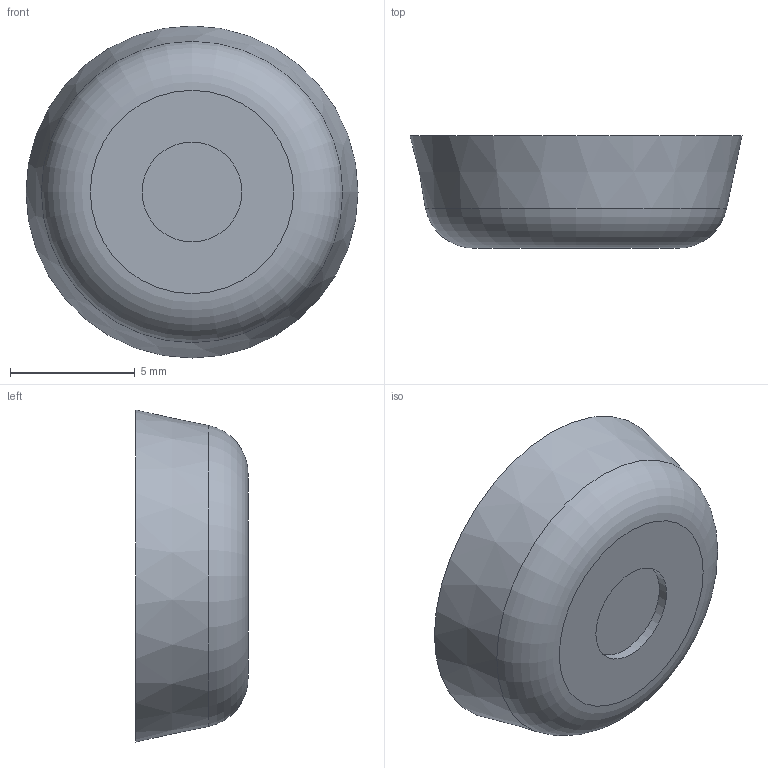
import cadquery as cq
import math

base_diameter = 13.3
height = 4.5
wall_taper = 12.0
front_edge_radius = 2.0
recess_diameter = 4.0
recess_depth = 0.4


def tapered_body():
    """Solid cone frustum, widest at the back face (Y = 0), with its front edge rounded."""
    base_radius = base_diameter / 2
    front_radius = base_radius - height * math.tan(math.radians(wall_taper))
    body = (
        cq.Workplane("XY")
        .moveTo(0, 0)
        .lineTo(base_radius, 0)
        .lineTo(front_radius, -height)
        .lineTo(0, -height)
        .close()
        .revolve(360, (0, 0), (0, 1))
    )
    return body.faces("<Y").edges().fillet(front_edge_radius)


def front_recess():
    """Shallow round pocket running from the front face toward the back."""
    recess_floor = recess_depth - height
    return (
        cq.Workplane("XZ", origin=(0, recess_floor, 0))
        .circle(recess_diameter / 2)
        .extrude(recess_depth)
    )


result = tapered_body().cut(front_recess())